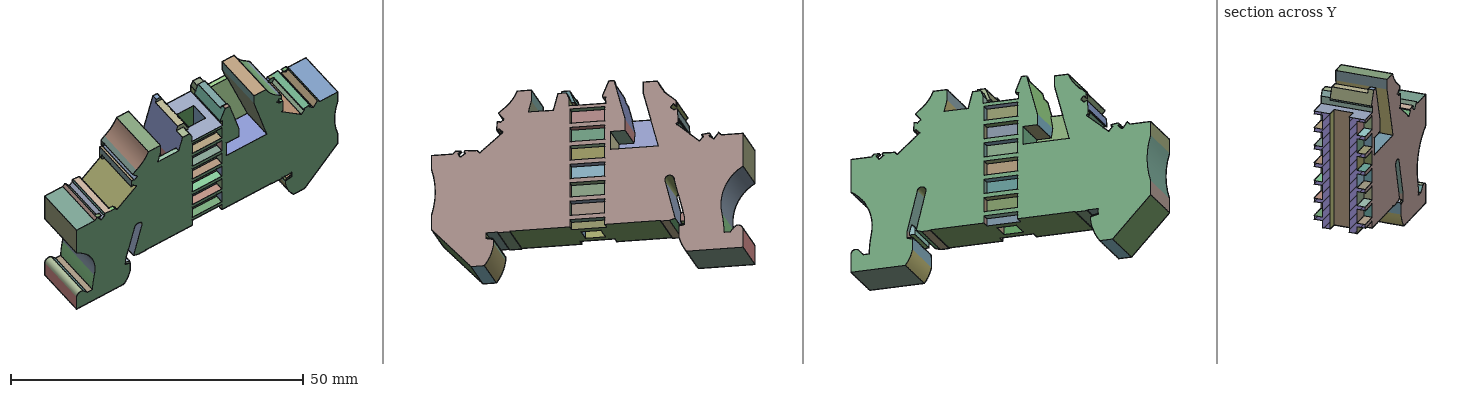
import cadquery as cq

WIDTH = 9.5
LENGTH = 54.6
HEIGHT = 31.8
HALF_WIDTH = WIDTH / 2
HALF_LENGTH = LENGTH / 2

SHELF_Z = 20.6
DECK_Z = 27.8
WEB_TOP_Z = 27.2
JAW_TOP_Z = 31.1
BELLY_Z = 5.9
PAD_Z = 5.8

LADDER_HALF_LENGTH = 3.05
LADDER_POCKET_DEPTH = 1.55
LADDER_POCKET_HEIGHT = 2.55
LADDER_PITCH = 3.35
LADDER_COUNT = 7
LADDER_TOP_Z = 27.2
SHAFT_SIDE = 3.5

LATCH_INNER_Y = 3.2
LATCH_HOOK_Y = 2.7
LATCH_HOOK_Z = 28.95
LATCH_RIDGE_Z = 31.1
LATCH_SHOULDER_Z = 30.15
LATCH_SHOULDER_X = -2.9
LATCH_NUB_X = 3.7
LATCH_NUB_BEVEL = 0.35

POCKET_FLOOR_Z = 19.4
POCKET_INNER_Y = 4.05
WEB_TOP_THICKNESS = 0.8
WEB_BOTTOM_THICKNESS = 3.7

FOOT_TAB_INSET = 1.1
FOOT_TAB_BEVEL = 0.15
LEDGE_BEVEL = 0.3

LIP_WIDTH = 0.7

MARGIN = 0.55

JAW_CORNER = (15.55, 27.35)
JAW_GROOVE_ROOT = (14.6, 26.2)
SLOPE_TOP = (14.75, 23.85)
SLOPE_BOTTOM = (19.65, 19.75)
SHELF_GROOVE_ROOT = (22.15, 19.95)
SHELF_CORNER = (23.05, 21.1)
JAW_HOOK = [(15.9, 24.35), (15.65, 24.35), (15.45, 24.5)]
SHELF_HOOK = [(20.35, 20.6), (20.05, 20.75), (20.05, 20.9)]

LATCH_OUTER_TOP = (4.7, HEIGHT)
LATCH_OUTER_WEB = (5.95, WEB_TOP_Z)
JAW_INNER_WEB = (10.3, WEB_TOP_Z)
JAW_INNER_BOTTOM = (12.45, POCKET_FLOOR_Z)
LATCH_TAIL_Y = 6.65
LATCH_TAIL_Z = 22.6
JAW_INNER_Y = 9.8


def on_line(start, end, y):
    """Point at y on the straight line through two (y, z) points."""
    slope = (end[1] - start[1]) / (end[0] - start[0])
    return (y, start[1] + slope * (y - start[0]))


UPPER_OUTLINE = [
    (LATCH_INNER_Y, DECK_Z),
    (LATCH_INNER_Y, LATCH_HOOK_Z),
    (LATCH_HOOK_Y, LATCH_HOOK_Z),
    (LATCH_HOOK_Y, 29.2),
    (3.75, HEIGHT),
    LATCH_OUTER_TOP,
    LATCH_OUTER_WEB,
    JAW_INNER_WEB,
    on_line(JAW_INNER_BOTTOM, JAW_INNER_WEB, JAW_INNER_Y),
    (JAW_INNER_Y, JAW_TOP_Z),
    (12.3, JAW_TOP_Z),
    ((13.3, 29.4), (14.8, 28.0)),
    JAW_CORNER,
    JAW_GROOVE_ROOT,
    (15.25, 25.65),
    (15.35, 25.8),
    (15.8, 25.8),
    *JAW_HOOK,
    SLOPE_TOP,
    SLOPE_BOTTOM,
    *SHELF_HOOK,
    (21.4, 21.1),
    (21.6, 20.75),
    (21.35, 20.6),
    SHELF_GROOVE_ROOT,
    SHELF_CORNER,
    (23.55, SHELF_Z),
    (HALF_LENGTH, SHELF_Z),
]

RIGID_FOOT_OUTLINE = [
    (HALF_LENGTH, 18.05),
    ((26.65, 13.9), (HALF_LENGTH, 9.8)),
    (HALF_LENGTH, 7.2),
    (20.35, 0.0),
    (18.0, 0.0),
    ((17.05, 1.6), (16.4, 3.9)),
    (16.4, 4.6),
    (17.75, 4.9),
    (17.75, BELLY_Z),
    (15.7, BELLY_Z),
    (15.7, PAD_Z),
    (13.55, PAD_Z),
    (13.55, BELLY_Z),
]

SPRUNG_FOOT_OUTLINE = [
    (-12.85, BELLY_Z),
    (-12.85, PAD_Z),
    (-14.4, PAD_Z),
    (-15.4, 6.1),
    (-13.65, 12.95),
    ((-14.2, 13.9), (-15.2, 13.3)),
    (-17.05, 6.2),
    (-17.05, 4.9),
    (-16.05, 4.65),
    (-16.05, 2.75),
    ((-16.55, 1.3), (-17.35, 0.0)),
    (-HALF_LENGTH, 0.0),
    (-HALF_LENGTH, 3.2),
    ((-26.8, 4.0), (-25.95, 3.95)),
    (-25.05, 2.95),
    (-23.95, 2.95),
    ((-23.85, 4.7), (-23.6, 6.45)),
    ((-24.3, 11.5), (-HALF_LENGTH, 14.65)),
]


def draw(sketch, outline):
    """Continue a sketch along corners and three-point arcs."""
    for step in outline:
        if isinstance(step[0], tuple):
            sketch = sketch.threePointArc(*step)
        else:
            sketch = sketch.lineTo(*step)
    return sketch


def mirrored_back(outline):
    """The same outline on the other side of Y = 0, run from its end to its start."""
    ends = [step[1] if isinstance(step[0], tuple) else step for step in outline]
    back = [(-ends[-1][0], ends[-1][1])]
    for i in range(len(outline) - 1, 0, -1):
        end = (-ends[i - 1][0], ends[i - 1][1])
        if isinstance(outline[i][0], tuple):
            middle_y, middle_z = outline[i][0]
            back.append(((-middle_y, middle_z), end))
        else:
            back.append(end)
    return back


def prism(points, x_start, x_end):
    """Extrude a (y, z) polygon along X."""
    sketch = cq.Workplane("YZ").workplane(offset=x_start).polyline(points).close()
    return sketch.extrude(x_end - x_start)


def full_prism(points):
    return prism(points, -HALF_WIDTH, HALF_WIDTH)


def front_prism(points):
    """Extrude an (x, z) polygon along the whole length."""
    return cq.Workplane("XZ").polyline(points).close().extrude(HALF_LENGTH, both=True)


def plan_prism(points):
    """Extrude an (x, y) polygon through the whole height."""
    return cq.Workplane("XY").polyline(points).close().extrude(HEIGHT)


def half_turn(shape):
    """The matching feature on the opposite half."""
    return shape.rotate((0, 0, 0), (0, 0, 1), 180)


def plate():
    start = UPPER_OUTLINE[0]
    outline = (
        UPPER_OUTLINE[1:]
        + RIGID_FOOT_OUTLINE
        + SPRUNG_FOOT_OUTLINE
        + mirrored_back(UPPER_OUTLINE)
    )
    sketch = cq.Workplane("YZ").workplane(offset=-HALF_WIDTH).moveTo(*start)
    return draw(sketch, outline).close().extrude(WIDTH)


def spring_pocket():
    """Gap around the latch tail; the web left at the -X face thickens downwards."""
    gap = full_prism([
        LATCH_OUTER_WEB,
        on_line(LATCH_OUTER_TOP, LATCH_OUTER_WEB, LATCH_TAIL_Y),
        (LATCH_TAIL_Y, LATCH_TAIL_Z),
        (POCKET_INNER_Y, LATCH_TAIL_Z),
        (POCKET_INNER_Y, POCKET_FLOOR_Z),
        JAW_INNER_BOTTOM,
        JAW_INNER_WEB,
    ])
    beyond_web = front_prism([
        (-HALF_WIDTH + WEB_TOP_THICKNESS, WEB_TOP_Z),
        (-HALF_WIDTH + WEB_BOTTOM_THICKNESS, POCKET_FLOOR_Z),
        (HALF_WIDTH, POCKET_FLOOR_Z),
        (HALF_WIDTH, WEB_TOP_Z),
    ])
    return gap.intersect(beyond_web)


def latch_trim(nub_bevel):
    """Material above the latch ridge, above its low shoulder and, if asked, at the nub's edge."""
    inner_y, outer_y = 2.2, 6.55
    above = HEIGHT + MARGIN
    ridge = prism(
        [(inner_y, LATCH_RIDGE_Z), (outer_y, LATCH_RIDGE_Z), (outer_y, above), (inner_y, above)],
        LATCH_SHOULDER_X,
        LATCH_NUB_X,
    )
    shoulder = prism(
        [
            (inner_y, DECK_Z),
            (LATCH_INNER_Y, DECK_Z),
            (LATCH_INNER_Y, 29.15),
            (3.65, LATCH_SHOULDER_Z),
            (outer_y, LATCH_SHOULDER_Z),
            (outer_y, above),
            (inner_y, above),
        ],
        -HALF_WIDTH,
        LATCH_SHOULDER_X,
    )
    trim = ridge.union(shoulder)
    if nub_bevel:
        bevel = front_prism([
            (LATCH_NUB_X, HEIGHT - nub_bevel),
            (LATCH_NUB_X + nub_bevel, HEIGHT),
            (LATCH_NUB_X, HEIGHT),
        ])
        around_latch = plan_prism([
            (-HALF_WIDTH, inner_y),
            (HALF_WIDTH, inner_y),
            (HALF_WIDTH, outer_y),
            (-HALF_WIDTH, outer_y),
        ])
        trim = trim.union(bevel.intersect(around_latch))
    return trim


def end_lips():
    """End stops of the marker grooves: at +X on the jaw and at -X on the shelf."""
    jaw_lips = [
        [JAW_CORNER, (15.55, 26.35), (15.25, 26.7), (15.0, 26.85)],
        [*JAW_HOOK, SLOPE_TOP, (15.55, 23.15), (15.9, 23.4)],
    ]
    shelf_lips = [
        [SLOPE_BOTTOM, *SHELF_HOOK, (19.3, 20.9), (18.85, 20.4)],
        [SHELF_CORNER, (22.1, 20.95), (22.4, 20.75), (22.7, 20.6)],
    ]
    lips = [prism(points, HALF_WIDTH - LIP_WIDTH, HALF_WIDTH) for points in jaw_lips]
    lips += [prism(points, -HALF_WIDTH, -HALF_WIDTH + LIP_WIDTH) for points in shelf_lips]
    return lips


def ladder_pockets():
    """Side pockets from both faces; the lowest one runs out through the belly."""
    pockets = cq.Workplane("XY")
    for side in (-1, 1):
        for i in range(LADDER_COUNT):
            pocket = cq.Workplane("XY").box(
                LADDER_POCKET_DEPTH, 2 * LADDER_HALF_LENGTH, LADDER_POCKET_HEIGHT
            )
            x = side * (HALF_WIDTH - LADDER_POCKET_DEPTH / 2)
            z = LADDER_TOP_Z - LADDER_POCKET_HEIGHT / 2 - i * LADDER_PITCH
            pockets = pockets.add(pocket.translate((x, 0, z)))
    return pockets.combine()


def rail_ledges():
    """Low crowns on the two rail ledges, bevelled towards both faces."""
    base_z, crown_z = 4.6, 5.15
    crown = front_prism([
        (-HALF_WIDTH, base_z),
        (HALF_WIDTH, base_z),
        (HALF_WIDTH - LEDGE_BEVEL, crown_z),
        (-HALF_WIDTH + LEDGE_BEVEL, crown_z),
    ])
    rigid = full_prism([(17.75, 4.9), (17.75, 5.15), (16.7, 4.9), (16.4, 4.6)])
    sprung = full_prism([(-17.05, 4.9), (-17.05, 5.15), (-16.55, 5.1), (-16.05, 4.95), (-16.05, 4.65)])
    return [rigid.intersect(crown), sprung.intersect(crown)]


def sprung_foot_tab():
    """Tab above the rail notch of the sprung foot, narrowing towards its tip."""
    root_y, tip_y = -17.05, -16.05
    tab = full_prism([
        (root_y, 7.7), (-16.55, 7.7), (tip_y, 7.25), (tip_y, 5.9), (root_y, 5.9),
    ])
    root_x = HALF_WIDTH - FOOT_TAB_INSET
    tip_x = root_x - FOOT_TAB_BEVEL
    taper = plan_prism([
        (-root_x, root_y),
        (root_x, root_y),
        (tip_x, tip_y),
        (-tip_x, tip_y),
    ])
    return tab.intersect(taper)


def shaft():
    return cq.Workplane("XY").rect(SHAFT_SIDE, SHAFT_SIDE).extrude(HEIGHT)


result = plate()

result = result.cut(spring_pocket()).cut(half_turn(spring_pocket()))
result = result.cut(latch_trim(LATCH_NUB_BEVEL)).cut(half_turn(latch_trim(0)))

for lip in end_lips():
    result = result.union(lip).union(half_turn(lip))

result = result.cut(ladder_pockets()).cut(shaft())

for ledge in rail_ledges():
    result = result.union(ledge)
result = result.union(sprung_foot_tab())